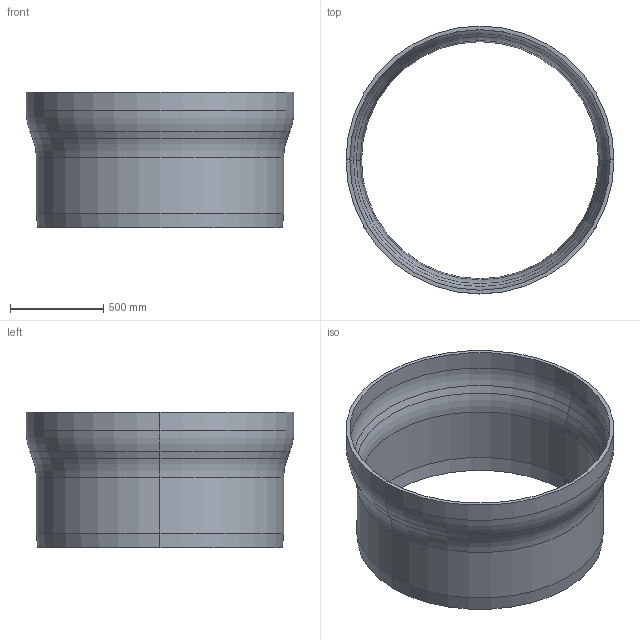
import cadquery as cq
import math

socket_outer_radius = 1440 / 2
spigot_outer_radius = 1330 / 2
wall = 20
total_height = 730
socket_height = 100
lead_in_height = 80
lead_in_radius_loss = 8
spigot_height = 300
convex_bend_radius = 300
concave_bend_radius = convex_bend_radius - wall
half_turn = 180

spigot_bottom = lead_in_height
spigot_top = spigot_bottom + spigot_height
socket_bottom = total_height - socket_height

transition_height = socket_bottom - spigot_top
transition_step = socket_outer_radius - spigot_outer_radius
bend_radius_sum = convex_bend_radius + concave_bend_radius
slope_length = math.sqrt(
    transition_height**2 + transition_step**2 - 2 * bend_radius_sum * transition_step
)
bend_angle = math.atan2(transition_height, bend_radius_sum - transition_step) - math.atan2(
    slope_length, bend_radius_sum
)


def bend_point(start_radius, start_height, bend_radius, angle, direction):
    """Point reached by bending away from vertical; direction is +1 up and out, -1 down and in."""
    return (
        start_radius + direction * bend_radius * (1 - math.cos(angle)),
        start_height + direction * bend_radius * math.sin(angle),
    )


def wall_bends(spigot_radius, socket_radius, lower_bend_radius, upper_bend_radius):
    """Middle and end points of the lower bend and of the upper bend on one face of the wall."""
    lower = [
        bend_point(spigot_radius, spigot_top, lower_bend_radius, angle, 1)
        for angle in (bend_angle / 2, bend_angle)
    ]
    upper = [
        bend_point(socket_radius, socket_bottom, upper_bend_radius, angle, -1)
        for angle in (bend_angle / 2, bend_angle)
    ]
    return lower, upper


def wall_profile():
    """Closed wall section, with radius along X and height along Y of the sketch."""
    socket_inner_radius = socket_outer_radius - wall
    spigot_inner_radius = spigot_outer_radius - wall
    end_outer_radius = spigot_outer_radius - lead_in_radius_loss
    end_inner_radius = spigot_inner_radius - lead_in_radius_loss

    outer_lower, outer_upper = wall_bends(
        spigot_outer_radius, socket_outer_radius, concave_bend_radius, convex_bend_radius
    )
    inner_lower, inner_upper = wall_bends(
        spigot_inner_radius, socket_inner_radius, convex_bend_radius, concave_bend_radius
    )
    return (
        cq.Workplane("XZ")
        .moveTo(end_outer_radius, 0)
        .lineTo(spigot_outer_radius, spigot_bottom)
        .lineTo(spigot_outer_radius, spigot_top)
        .threePointArc(outer_lower[0], outer_lower[1])
        .lineTo(*outer_upper[1])
        .threePointArc(outer_upper[0], (socket_outer_radius, socket_bottom))
        .lineTo(socket_outer_radius, total_height)
        .lineTo(socket_inner_radius, total_height)
        .lineTo(socket_inner_radius, socket_bottom)
        .threePointArc(inner_upper[0], inner_upper[1])
        .lineTo(*inner_lower[1])
        .threePointArc(inner_lower[0], (spigot_inner_radius, spigot_top))
        .lineTo(spigot_inner_radius, spigot_bottom)
        .lineTo(end_inner_radius, 0)
        .close()
    )


def half_shell(start_angle):
    """Half of the reducer, swept 180 degrees about Z from start_angle."""
    half = wall_profile().revolve(half_turn, (0, 0), (0, 1))
    return half.rotate((0, 0, 0), (0, 0, 1), start_angle)


half_shells = [half_shell(start_angle) for start_angle in (0, half_turn)]

result = cq.Compound.makeCompound([half.val() for half in half_shells])